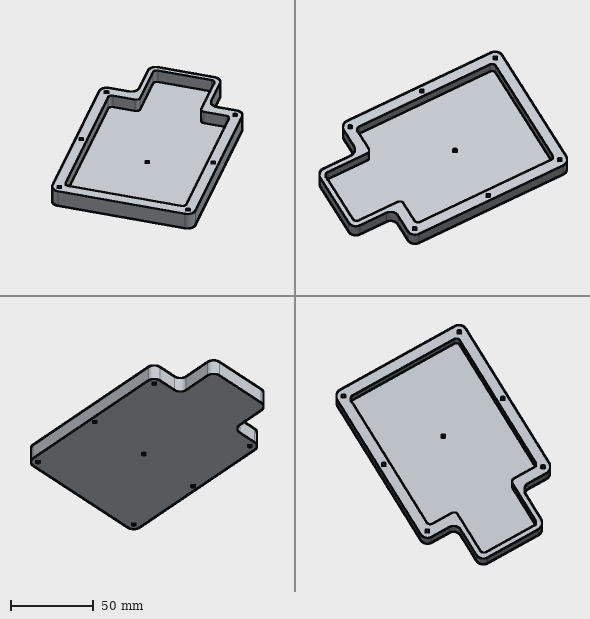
import cadquery as cq

total_length = 137.8
body_width = 90.2
body_length = 109.2
neck_width = 45.5
height = 11.0
outer_radius = 5.0

body_wall = 7.0
neck_wall = 3.5
floor_thickness = 2.5
pocket_radius = 2.5

hole_diameter = 2.2
corner_hole_inset = 4.5
side_hole_inset = 3.5

body_front = -total_length / 2
body_back = body_front + body_length
body_center_y = (body_front + body_back) / 2
neck_back = total_length / 2


def stepped_prism(wide, narrow, front, shoulder, back, bottom, radius):
    """Wide rectangle with a centred narrow neck, up to the top face, upright edges rounded."""
    half_wide = wide / 2
    half_narrow = narrow / 2
    return (
        cq.Workplane("XY", origin=(0, 0, bottom))
        .polyline([
            (-half_wide, front),
            (half_wide, front),
            (half_wide, shoulder),
            (half_narrow, shoulder),
            (half_narrow, back),
            (-half_narrow, back),
            (-half_narrow, shoulder),
            (-half_wide, shoulder),
        ])
        .close()
        .extrude(height - bottom)
        .edges("|Z")
        .fillet(radius)
    )


outer_block = stepped_prism(
    body_width, neck_width, body_front, body_back, neck_back, 0, outer_radius
)
pocket = stepped_prism(
    body_width - 2 * body_wall,
    neck_width - 2 * neck_wall,
    body_front + body_wall,
    body_back - body_wall,
    neck_back - neck_wall,
    floor_thickness,
    pocket_radius,
)

corner_x = body_width / 2 - corner_hole_inset
corner_y = body_length / 2 - corner_hole_inset
side_x = body_width / 2 - side_hole_inset
hole_offsets = [(x, y) for x in (-corner_x, corner_x) for y in (-corner_y, corner_y)]
hole_offsets += [(-side_x, 0), (0, 0), (side_x, 0)]
holes = (
    cq.Workplane("XY", origin=(0, body_center_y, 0))
    .pushPoints(hole_offsets)
    .circle(hole_diameter / 2)
    .extrude(height)
)

result = outer_block.cut(pocket).cut(holes)